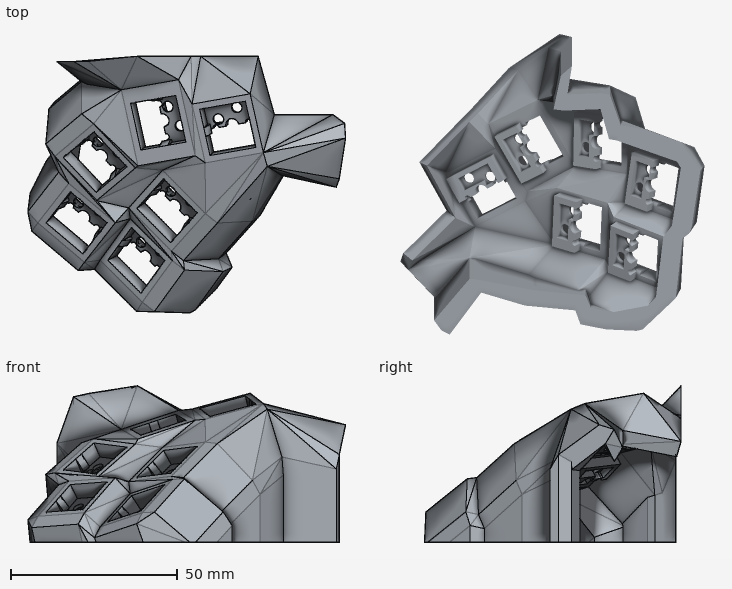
import cadquery as cq
import math

PLATE_SIDE = 18.3
LONG_PLATE_EXTRA = 2.6
PLATE_THICKNESS = 5.1
KEY_OPENING = 14.4
HUB_HEIGHT = 32.95

LEDGE_THICKNESS = 3.2
SOCKET_SHIFT = (0.2, -0.2, 0)
PIN_DIAMETER = 3.2
PIN_CENTRES = [(-3.81, 2.54), (2.54, 5.08)]
STEM_DIAMETER = 4.0
PEG_DIAMETER = 1.9
PEG_OFFSET = 5.08
POCKET_ROOF = 1.0
POCKET_LEFT, POCKET_STEP, POCKET_RIGHT = -6.2, -1.9, 5.0
POCKET_FRONT, POCKET_STEP_FRONT, POCKET_BACK = 1.0, 2.6, 6.7
NUB_WIDTH = 2.75
NUB_RADIUS = 1.0

RIM_REACH = 4.5
RIM_DROP = 1.0
WALL_REACH_X = 5.0
WALL_REACH_Y = 6.0
WALL_BASE = 4.5
WALL_DROP = 15.0

TOLERANCE = 1e-5


def frame(turn, place):
    """Frame tilted about X, then Y, then Z, and placed relative to the cluster's reference point."""
    x, y, z = place
    location = cq.Location(cq.Vector(x, y, z + HUB_HEIGHT))
    for axis, angle in zip(((0, 0, 1), (0, 1, 0), (1, 0, 0)), reversed(turn)):
        location = location * cq.Location(cq.Vector(), cq.Vector(axis), angle)
    return location


TOP_LEFT = frame((7.5, -18, 10), (-32.5, -14.5, -2.5))
TOP_RIGHT = frame((10, -15, 10), (-12, -16, 3))
MID_LEFT = frame((6, -34, 40), (-51, -25, -12))
MID_RIGHT = frame((-6, -34, 48), (-29, -40, -13))
LOW_LEFT = frame((-4, -35, 52), (-56.3, -43.3, -23.5))
LOW_RIGHT = frame((-16, -33, 54), (-37.8, -55.3, -25.3))


def post(place, x, y, top):
    """Upper and lower end of a segment normal to a frame, one plate thickness long."""
    ends = []
    for z in (top, top - PLATE_THICKNESS):
        ends.append((place * cq.Location(cq.Vector(x, y, z))).toTuple()[0])
    return ends


def plate_length(place):
    if place is TOP_LEFT:
        return PLATE_SIDE + 2 * LONG_PLATE_EXTRA
    return PLATE_SIDE


def corner(place, side_x, side_y):
    """Plate corner; side_x and side_y are -1 or 1."""
    return (place, side_x * PLATE_SIDE / 2, side_y * plate_length(place) / 2, PLATE_THICKNESS)


def body_corner(turn, place):
    """Corner on the edge that meets the main body, its top end at the given place."""
    return (frame(turn, place), 0, 0, 0)


def at(anchor):
    """Post at a corner itself."""
    return post(*anchor)


def stepped(anchor, out_x, out_y, drop):
    """Post moved outward from a corner and lowered, in the corner's own frame."""
    place, x, y, top = anchor
    return post(place, x + out_x, y + out_y, top - drop)


def rim(anchor, direction):
    """Post at the outer edge of the sloped rim."""
    out_x, out_y = direction
    return stepped(anchor, out_x * RIM_REACH, out_y * RIM_REACH, RIM_DROP)


def wall(anchor, direction):
    """Inner and outer post of the wall below the rim."""
    out_x, out_y = direction
    inner = stepped(anchor, out_x * WALL_REACH_X, out_y * WALL_REACH_Y, WALL_DROP)
    reach_x = WALL_REACH_X + WALL_BASE
    reach_y = WALL_REACH_Y + WALL_BASE
    outer = stepped(anchor, out_x * reach_x, out_y * reach_y, WALL_DROP)
    return inner + outer


def hull(points):
    """Convex solid around a list of points."""
    corners = []
    for point in points:
        vector = cq.Vector(point)
        if all((vector - other).Length > TOLERANCE for other in corners):
            corners.append(vector)
    count = len(corners)
    seen = set()
    faces = []
    for i in range(count):
        for j in range(i + 1, count):
            for k in range(j + 1, count):
                normal = (corners[j] - corners[i]).cross(corners[k] - corners[i])
                if normal.Length < TOLERANCE:
                    continue
                normal = normal.normalized()
                heights = [(c - corners[i]).dot(normal) for c in corners]
                if min(heights) < -TOLERANCE and max(heights) > TOLERANCE:
                    continue
                flat = frozenset(n for n in range(count) if abs(heights[n]) <= TOLERANCE)
                if flat in seen:
                    continue
                seen.add(flat)
                faces.append(convex_face([corners[n] for n in flat], normal))
    return cq.Solid.makeSolid(cq.Shell.makeShell(faces))


def convex_face(points, normal):
    """Convex polygon through points of one plane, leaving out those inside it or along its sides."""
    start = min(points, key=lambda p: p.toTuple())
    outline = [start]
    while True:
        here = outline[-1]
        best = None
        for point in points:
            step = point - here
            if step.Length < TOLERANCE:
                continue
            if best is None:
                best = point
                continue
            turn = (best - here).cross(step).dot(normal)
            if turn < -TOLERANCE or (abs(turn) <= TOLERANCE and step.Length > (best - here).Length):
                best = point
        if (best - start).Length < TOLERANCE:
            break
        outline.append(best)
    return cq.Face.makeFromWires(cq.Wire.makePolygon(outline, close=True))


def down_to_floor(points):
    """Convex solid around the points and the floor below them; points under the floor cast no foot."""
    return hull(points + [(x, y, 0) for x, y, z in points if z > 0])


def skin(anchors):
    """Strip of triangular webs, each spanning three successive corners."""
    webs = []
    for first, second, third in zip(anchors, anchors[1:], anchors[2:]):
        webs.append(hull(at(first) + at(second) + at(third)))
    return webs


def wall_between(anchor_a, direction_a, anchor_b, direction_b):
    """Rim and wall from one corner to the next, continued straight down to the floor."""
    walls = wall(anchor_a, direction_a) + wall(anchor_b, direction_b)
    rims = rim(anchor_a, direction_a) + rim(anchor_b, direction_b)
    return [hull(at(anchor_a) + at(anchor_b) + rims + walls), down_to_floor(walls)]


def key_plate(place, turn):
    """Plate with a switch opening, its two side nubs and the socket ledge under one half."""
    half = KEY_OPENING / 2
    outline = cq.Workplane("XY").rect(PLATE_SIDE, plate_length(place)).extrude(PLATE_THICKNESS)
    plate = outline.cut(cq.Workplane("XY").rect(KEY_OPENING, KEY_OPENING).extrude(PLATE_THICKNESS))

    detail = socket_ledge(half)
    for side in (-1, 1):
        detail = detail.union(side_nub(side, half))
    turned = detail.rotate((0, 0, 0), (0, 0, 1), turn)
    return plate.union(turned).val().moved(place)


def socket_ledge(half):
    """Ledge under one half of the opening, with pin holes, scalloped free edge and socket pocket."""
    depth = half + (PLATE_SIDE / 2 - half) / 2
    underside = cq.Workplane("XY", origin=(0, 0, -LEDGE_THICKNESS))
    ledge = underside.center(0, depth / 2).rect(2 * depth, depth).extrude(LEDGE_THICKNESS)
    pegs = [(-PEG_OFFSET, 0), (PEG_OFFSET, 0)]
    for centres, diameter in ((PIN_CENTRES, PIN_DIAMETER), ([(0, 0)], STEM_DIAMETER), (pegs, PEG_DIAMETER)):
        ledge = ledge.cut(underside.pushPoints(centres).circle(diameter / 2).extrude(LEDGE_THICKNESS))
    pocket = (
        underside.moveTo(POCKET_LEFT, POCKET_FRONT)
        .lineTo(POCKET_STEP, POCKET_FRONT)
        .lineTo(POCKET_STEP, POCKET_STEP_FRONT)
        .lineTo(POCKET_RIGHT, POCKET_STEP_FRONT)
        .lineTo(POCKET_RIGHT, POCKET_BACK)
        .lineTo(POCKET_LEFT, POCKET_BACK)
        .close()
        .extrude(LEDGE_THICKNESS - POCKET_ROOF)
    )
    return ledge.cut(pocket).translate(SOCKET_SHIFT)


def side_nub(side, half):
    """Ramp that grows from the top of the opening's wall into a rounded nub near its foot."""
    rise = PLATE_THICKNESS - NUB_RADIUS
    lift = math.asin(NUB_RADIUS / rise)
    nub_x = NUB_RADIUS * math.cos(lift)
    nub_z = NUB_RADIUS + NUB_RADIUS * math.sin(lift)
    profile = (
        cq.Workplane("XZ", origin=(0, NUB_WIDTH / 2, 0))
        .moveTo(side * half, PLATE_THICKNESS)
        .lineTo(side * (half - nub_x), nub_z)
        .threePointArc((side * (half - NUB_RADIUS), NUB_RADIUS), (side * half, 0))
        .lineTo(side * (half + NUB_RADIUS), 0)
        .lineTo(side * (half + NUB_RADIUS), PLATE_THICKNESS)
        .close()
    )
    return profile.extrude(NUB_WIDTH)


TL, TR, BL, BR = (-1, 1), (1, 1), (-1, -1), (1, -1)
LEFT, FRONT, BACK = (-1, 0), (0, -1), (0, 1)
BACK_LEFT = (-0.3, 1)

BODY_LEFT = body_corner((0, 0, 0), (-54.8, 2.93, 11.7))
BODY_COLUMN_0 = [
    body_corner((-15, 29.6, 0), (-40.2, 4.5, 14.0)),
    body_corner((-15, 29.6, 0), (-24.08, 4.5, 5.1)),
]
BODY_COLUMN_1 = [
    body_corner((-15, 22, 0), (-21.2, 4.5, 4.2)),
    body_corner((-15, 22, 0), (-4.0, 4.5, -2.7)),
]
BODY_COLUMN_2 = [
    body_corner((-30, 17, 0), (0.87, -12.95, 0.6)),
    body_corner((-30, 17, 0), (18.36, -12.95, -4.5)),
]
BODY_RIGHT = body_corner((-30, 12, 0), (21.92, -15.6, 0.95))


def key_plates():
    """All plates; every socket but the top right one is turned a quarter clockwise."""
    plates = [key_plate(TOP_RIGHT, 0)]
    for place in (TOP_LEFT, MID_LEFT, MID_RIGHT, LOW_LEFT, LOW_RIGHT):
        plates.append(key_plate(place, -90))
    return plates


def webs():
    """Webs between the key plates and from the two top plates to the main body."""
    strips = [
        [(TOP_LEFT, TR), (TOP_LEFT, BR), (TOP_RIGHT, TL), (TOP_RIGHT, BL)],
        [(LOW_RIGHT, TR), (LOW_RIGHT, BR), (MID_RIGHT, TL), (MID_RIGHT, BL)],
        [(LOW_LEFT, TR), (LOW_LEFT, BR), (MID_LEFT, TL), (MID_LEFT, BL)],
        [
            (LOW_RIGHT, TL), (LOW_LEFT, BL), (LOW_RIGHT, TR), (LOW_LEFT, BR),
            (MID_RIGHT, TL), (MID_LEFT, BL), (MID_RIGHT, TR), (MID_LEFT, BR),
        ],
        [
            (TOP_LEFT, TL), (MID_LEFT, TR), (TOP_LEFT, BL), (MID_LEFT, BR), (TOP_LEFT, BR),
            (MID_RIGHT, TR), (TOP_RIGHT, BL), (MID_RIGHT, BR), (TOP_RIGHT, BR),
        ],
    ]
    solids = []
    for strip in strips:
        solids += skin([corner(place, *side) for place, side in strip])
    solids += skin([
        corner(TOP_LEFT, *TL), BODY_COLUMN_0[0], corner(TOP_LEFT, *TR), BODY_COLUMN_0[1],
        corner(TOP_RIGHT, *TL), BODY_COLUMN_1[0], corner(TOP_RIGHT, *TR), BODY_COLUMN_1[1], BODY_COLUMN_2[0],
    ])
    solids += skin([
        corner(TOP_RIGHT, *TR), BODY_COLUMN_2[0], corner(TOP_RIGHT, *BR), BODY_COLUMN_2[1], BODY_RIGHT,
    ])
    return solids


def outer_walls():
    """Walls along the free plate edges and from the top right plate to the main body."""
    runs = [
        ((TOP_RIGHT, BR), FRONT, (MID_RIGHT, BR), FRONT),
        ((MID_RIGHT, BR), FRONT, (MID_RIGHT, BL), FRONT),
        ((MID_RIGHT, BL), FRONT, (LOW_RIGHT, BR), FRONT),
        ((LOW_RIGHT, BR), FRONT, (LOW_RIGHT, BL), FRONT),
        ((LOW_RIGHT, BL), FRONT, (LOW_RIGHT, BL), LEFT),
        ((LOW_RIGHT, BL), LEFT, (LOW_RIGHT, TL), LEFT),
        ((LOW_RIGHT, TL), LEFT, (LOW_LEFT, BL), LEFT),
        ((LOW_LEFT, BL), LEFT, (LOW_LEFT, TL), LEFT),
        ((LOW_LEFT, TL), LEFT, (LOW_LEFT, TL), BACK),
        ((LOW_LEFT, TL), BACK, (LOW_LEFT, TR), BACK),
        ((LOW_LEFT, TR), BACK, (MID_LEFT, TL), BACK),
        ((MID_LEFT, TL), BACK, (MID_LEFT, TR), BACK_LEFT),
    ]
    solids = []
    for (place_a, side_a), direction_a, (place_b, side_b), direction_b in runs:
        solids += wall_between(corner(place_a, *side_a), direction_a, corner(place_b, *side_b), direction_b)
    solids += wall_between(BODY_RIGHT, FRONT, corner(TOP_RIGHT, *BR), FRONT)
    return solids


def left_wing():
    """Folded wing from the long plate's back left corner to the left end of the main body."""
    tip = at(corner(TOP_LEFT, *TL))
    middle = corner(MID_LEFT, *TR)
    middle_wall = wall(middle, BACK_LEFT)
    body_wall = wall(BODY_LEFT, LEFT)
    body_rim = rim(BODY_LEFT, LEFT)
    return [
        down_to_floor(body_wall + middle_wall),
        hull(body_wall + middle_wall + tip),
        hull(at(BODY_LEFT) + body_rim + body_wall + tip),
        hull(at(BODY_LEFT) + body_rim + at(BODY_COLUMN_0[0]) + tip),
        hull(at(middle) + rim(middle, BACK_LEFT) + middle_wall + tip),
    ]


def build():
    """Join all parts and trim what reaches below the floor."""
    solids = key_plates() + webs() + outer_walls() + left_wing()
    body = solids[0].fuse(*solids[1:])
    box = body.BoundingBox()
    span = 2 * box.DiagonalLength
    above_floor = cq.Workplane("XY").box(span, span, span, centered=(True, True, False))
    return cq.Workplane(body).intersect(above_floor)


result = build()